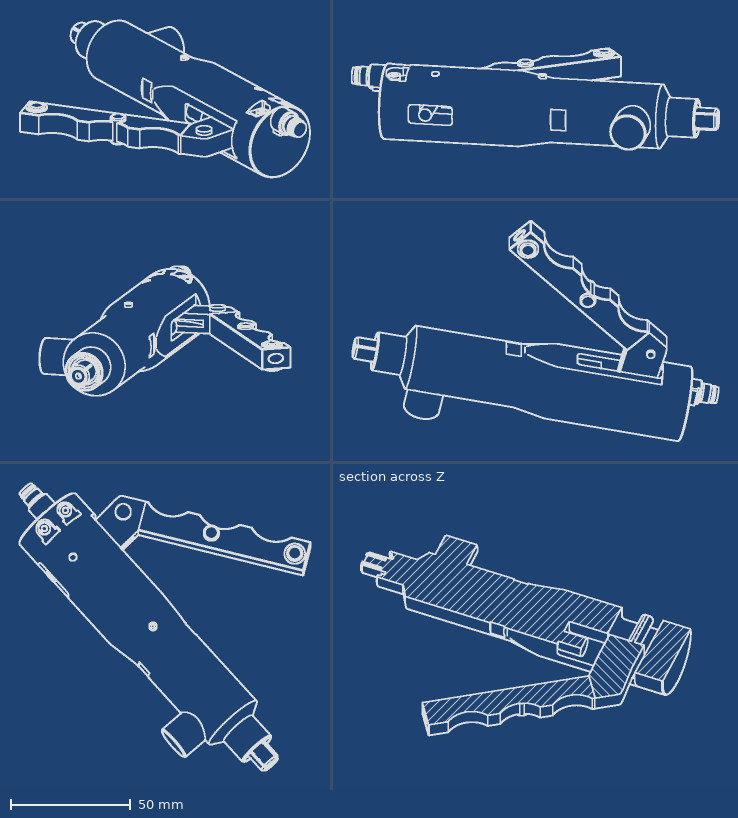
import cadquery as cq
import math


collet_radius = 4.6
collet_tip_radius = 3.9
collet_tip_chamfer_end = 1.0
collar_start = 8.7
collar_radius = 16.2 / 2
collar_chamfer = 0.5
shoulder_start = 20.7
barrel_start = 24.0
barrel_radius = 13.5
taper_start = 70.1
body_start = 83.7
body_radius = 31.7 / 2
body_end = 141.1
body_end_chamfer = 0.5

collet_bore_radius = 1.16
collet_bore_depth = 4.6
collet_counterbore_radius = 6.3 / 2
collet_counterbore_depth = 0.6
slit_width = 0.7
slit_depth = 1.4
collar_recess_radius = 6.8
collar_recess_depth = 1.2
collar_inner_recess_radius = 5.7
collar_inner_recess_depth = 2.5

inlet_x = 33.7
inlet_radius = 7.6
inlet_end = 24.8
inlet_chamfer = 0.5

wrench_flat_start = 62.2
wrench_flat_end = 68.5
wrench_flat_offset = 12.7

flat_end = 128.5
flat_offset = 13.3
slot_width = 8.2
slot_start = 92.5
slot_through_start = 109.9
slot_corner_radius = 1.5
valve_rod_end = 102.8
valve_rod_y = -8.7
valve_rod_radius = 4.0

plug_x = 74.5
plug_radius = 3.2 / 2
plug_top = 15.3
plug_hole_radius = 1.45 / 2
plug_hole_depth = 0.8
body_hole_x = 118.9
body_hole_y = 5.3
body_hole_radius = 1.5
body_hole_floor = 13.5

pocket_y = 5.9
pocket_start = 130.8
pocket_mouth_width = 8.4
pocket_mouth_end = 133.1
pocket_width = 6.8
pocket_floor = 12.4
screw_x = 136.2
screw_head_radius = 2.5
screw_head_top = 13.8
screw_socket_radius = 2.3 / 2
screw_socket_depth = 0.8

connector_root_depth = 1.5
connector_radius = 5.1
connector_z = 10.5
connector_shoulder = 147.5
connector_shoulder_chamfer = 0.5
connector_neck_radius = 3.5
connector_band_start = 148.4
connector_band_end = 151.4
connector_band_radius = 7.9 / 2
connector_groove_radius = 3.2
ridge_starts = (152.5, 153.0)
ridge_width = 0.3
ridge_radius = 3.7
connector_tip_start = 153.5
connector_tip_radius = 3.4
connector_end = 154.8
connector_key_end = 145.8
connector_key_width = 7.5
connector_notch_end = 146.7
connector_notch_top = 7.5

bend_x = 111.3
bend_y = -24.5
lever_angle = 34.3
grip_length = 71.0
grip_depth = 12.8
grip_thickness = 9.0
grip_chamfer = 0.3
grip_end_chamfer = 0.3
scallop_count = 3
scallop_first = 9.6
scallop_pitch = 22.3
scallop_chord = 17.0
scallop_depth = 3.7

pin_across = 6.2
middle_pin_along = 29.9
end_pin_along = 65.8
pin_radius = 3.2
pin_top = 5.9
pin_chamfer = 0.6
end_pin_flange_radius = 4.3
end_pin_flange_top = 5.1
end_recess_half_width = 6.3 / 2
end_recess_half_height = 2.0
end_recess_depth = 0.5

link_front_x = 110.7
link_rear_x = 126.5
link_heel_x = 127.5
link_heel_y = -25.5
link_heel_radius = 1.9
fork_gap = 3.0
fork_gap_x = 103.7
fork_gap_y = -9.3
fork_gap_radius = 16.2
fork_gap_bottom = -21.7
stem_x = 121.3
stem_start = -1.5
stem_radius = 2.6
stem_end = 15.8
pivot_x = 121.3
pivot_y = -24.9
pivot_head_radius = 3.2
pivot_head_top = 5.5
pivot_tail_radius = 3.2 / 2
pivot_tail_bottom = -5.4

far = 61.9


def box(x, y, z):
    """Box spanning the given (low, high) ranges."""
    size = (x[1] - x[0], y[1] - y[0], z[1] - z[0])
    return cq.Workplane("XY").box(*size, centered=False).translate((x[0], y[0], z[0]))


def disc(x, y, bottom, top, radius):
    """Vertical cylinder between two heights."""
    return cq.Workplane("XY", origin=(x, y, bottom)).circle(radius).extrude(top - bottom)


def rod(start, end, radius, z=0.0):
    """Cylinder along X between two stations."""
    return cq.Workplane("YZ", origin=(start, 0, z)).circle(radius).extrude(end - start)


def turned_body():
    """Collet, collar, barrel, taper and rear body in one revolved profile."""
    profile = [
        (0, 0),
        (0, collet_tip_radius),
        (collet_tip_chamfer_end, collet_radius),
        (collar_start, collet_radius),
        (collar_start, collar_radius - collar_chamfer),
        (collar_start + collar_chamfer, collar_radius),
        (shoulder_start, collar_radius),
        (barrel_start, barrel_radius),
        (taper_start, barrel_radius),
        (body_start, body_radius),
        (body_end - body_end_chamfer, body_radius),
        (body_end, body_radius - body_end_chamfer),
        (body_end, 0),
    ]
    return cq.Workplane("XY").polyline(profile).close().revolve(360, (0, 0, 0), (1, 0, 0))


def collet_cuts():
    """Stepped bore, four diagonal slits, and the stepped ring-shaped recess around the collet."""
    recess_end = collar_start + collar_inner_recess_depth
    recess = rod(collar_start, collar_start + collar_recess_depth, collar_recess_radius)
    recess = recess.union(rod(collar_start, recess_end, collar_inner_recess_radius))
    cuts = recess.cut(rod(collar_start, recess_end, collet_radius))
    cuts = cuts.union(rod(0, collet_bore_depth, collet_bore_radius))
    cuts = cuts.union(rod(0, collet_counterbore_depth, collet_counterbore_radius))
    slit = box(
        (0, collar_start),
        (-slit_width / 2, slit_width / 2),
        (collet_radius - slit_depth, collet_radius),
    )
    for angle in (45, 135, 225, 315):
        cuts = cuts.union(slit.rotate((0, 0, 0), (1, 0, 0), angle))
    return cuts


def inlet():
    tube = cq.Workplane("XZ", origin=(inlet_x, 0, 0)).circle(inlet_radius).extrude(-inlet_end)
    return tube.faces(">Y").chamfer(inlet_chamfer)


def wrench_flats():
    flat = box((wrench_flat_start, wrench_flat_end), (wrench_flat_offset, far), (-far, far))
    return flat.union(flat.mirror("XZ"))


def lever_flat():
    return box((taper_start, flat_end), (-far, -flat_offset), (-far, far))


def link_slot():
    """Slot for the link: full length down to the axis, and its rear part right through."""
    half = slot_width / 2
    entry = box((slot_start, flat_end), (-far, 0), (-half, half))
    exit_part = box((slot_through_start, flat_end), (-far, far), (-half, half))
    entry = entry.edges("|Y").fillet(slot_corner_radius)
    return entry.union(exit_part.edges("|Y").fillet(slot_corner_radius))


def valve_rod():
    """Short rod reaching from the front end of the slot toward the link."""
    return rod(slot_start, valve_rod_end, valve_rod_radius).translate((0, valve_rod_y, 0))


def add_plug(body):
    body = body.union(disc(plug_x, 0, 0, plug_top, plug_radius))
    return body.cut(disc(plug_x, 0, plug_top - plug_hole_depth, plug_top, plug_hole_radius))


def add_screw_pocket(body, y):
    """U-shaped pocket with a wider mouth, open to the outside and holding a socket screw."""
    half = pocket_width / 2
    mouth_half = pocket_mouth_width / 2
    pocket = box((pocket_start, screw_x), (-half, half), (pocket_floor, far))
    mouth = box((pocket_start, pocket_mouth_end), (-mouth_half, mouth_half), (pocket_floor, far))
    pocket = pocket.union(disc(screw_x, 0, pocket_floor, far, half)).union(mouth)
    screw = disc(screw_x, 0, pocket_floor, screw_head_top, screw_head_radius)
    socket = disc(screw_x, 0, screw_head_top - screw_socket_depth, screw_head_top, screw_socket_radius)
    pocket = pocket.cut(screw).union(socket)
    return body.cut(pocket.translate((0, y, 0)))


def connector():
    """Turned fitting with a band and two ridges, and a key under its root."""
    start = body_end - connector_root_depth
    bottom = connector_z - connector_radius
    fitting = rod(start, connector_shoulder, connector_radius, connector_z)
    fitting = fitting.faces(">X").chamfer(connector_shoulder_chamfer)
    steps = [
        (connector_shoulder, connector_band_start, connector_neck_radius),
        (connector_band_start, connector_band_end, connector_band_radius),
        (connector_band_end, connector_tip_start, connector_groove_radius),
        (connector_tip_start, connector_end, connector_tip_radius),
    ]
    for ridge_start in ridge_starts:
        steps.append((ridge_start, ridge_start + ridge_width, ridge_radius))
    for step_start, step_end, radius in steps:
        fitting = fitting.union(rod(step_start, step_end, radius, connector_z))
    half = connector_key_width / 2
    key = box((start, connector_key_end), (-half, half), (bottom, connector_z))
    notch = box((connector_key_end, connector_notch_end), (-far, far), (-far, connector_notch_top))
    return fitting.union(key).cut(notch)


def make_housing():
    body = turned_body().cut(collet_cuts()).union(inlet())
    body = body.cut(wrench_flats()).cut(lever_flat()).cut(link_slot())
    body = body.union(valve_rod())
    body = add_plug(body)
    body = body.cut(disc(body_hole_x, body_hole_y, body_hole_floor, far, body_hole_radius))
    for y in (-pocket_y, pocket_y):
        body = add_screw_pocket(body, y)
    return body.union(connector())


def place_on_lever(shape):
    """Move a shape from grip axes (X toward the bend, Y away from the palm side) into place."""
    return shape.rotate((0, 0, 0), (0, 0, 1), lever_angle).translate((bend_x, bend_y, 0))


def add_grip_pin(grip, along, flange_radius, flange_top):
    """Pin head on both faces, with a flange below each head."""
    head = disc(-along, -pin_across, -pin_top, pin_top, pin_radius)
    head = head.faces("<Z or >Z").chamfer(pin_chamfer)
    flange = disc(-along, -pin_across, -flange_top, flange_top, flange_radius)
    return grip.union(head).union(flange)


def make_grip():
    """Straight bar with finger scallops on its outer edge and two pins through it."""
    outline = cq.Workplane("XY", origin=(0, 0, -grip_thickness / 2)).moveTo(0, 0)
    outline = outline.lineTo(0, -grip_depth)
    for index in range(scallop_count):
        middle = -scallop_first - index * scallop_pitch
        outline = outline.lineTo(middle + scallop_chord / 2, -grip_depth)
        outline = outline.threePointArc(
            (middle, scallop_depth - grip_depth),
            (middle - scallop_chord / 2, -grip_depth),
        )
    outline = outline.lineTo(-grip_length, -grip_depth).lineTo(-grip_length, 0).close()
    grip = outline.extrude(grip_thickness)
    grip = grip.edges("|Z and <X").chamfer(grip_end_chamfer)
    grip = grip.faces("<Z or >Z").edges("not(>X)").chamfer(grip_chamfer)
    grip = add_grip_pin(grip, middle_pin_along, pin_radius, grip_thickness / 2)
    grip = add_grip_pin(grip, end_pin_along, end_pin_flange_radius, end_pin_flange_top)
    end_plane = cq.Workplane("YZ", origin=(-grip_length, -pin_across, 0))
    end_recess = end_plane.ellipse(end_recess_half_width, end_recess_half_height).extrude(end_recess_depth)
    grip = grip.cut(end_recess)
    return place_on_lever(grip)


def make_link():
    """Forked link: knuckle at the bend, two tabs entering the slot, and a stem through the far side."""
    angle = math.radians(lever_angle)
    foot_x = bend_x + grip_depth * math.sin(angle)
    foot_y = bend_y - grip_depth * math.cos(angle)
    heel_bottom_y = foot_y + (link_heel_x - foot_x) * math.tan(angle)
    outline = [
        (bend_x, bend_y),
        (foot_x, foot_y),
        (link_heel_x, heel_bottom_y),
        (link_heel_x, link_heel_y),
        (link_rear_x, -flat_offset),
        (link_rear_x, 0),
        (link_front_x, 0),
        (link_front_x, -flat_offset),
    ]
    link = cq.Workplane("XY", origin=(0, 0, -slot_width / 2)).polyline(outline).close().extrude(slot_width)
    heel = cq.selectors.NearestToPointSelector((link_heel_x, heel_bottom_y, 0))
    link = link.edges("|Z").edges(heel).fillet(link_heel_radius)
    gap = disc(fork_gap_x, fork_gap_y, -fork_gap / 2, fork_gap / 2, fork_gap_radius)
    gap = gap.intersect(box((0, link_heel_x), (fork_gap_bottom, far), (-far, far)))
    stem = cq.Workplane("XZ", origin=(stem_x, stem_start, 0)).circle(stem_radius)
    stem = stem.extrude(stem_start - stem_end)
    link = link.cut(gap).union(stem)
    link = link.union(disc(pivot_x, pivot_y, 0, pivot_head_top, pivot_head_radius))
    return link.union(disc(pivot_x, pivot_y, pivot_tail_bottom, 0, pivot_tail_radius))


housing = make_housing()
link = make_link()
grip = make_grip()
result = cq.Compound.makeCompound([body.solids().val() for body in (housing, link, grip)])